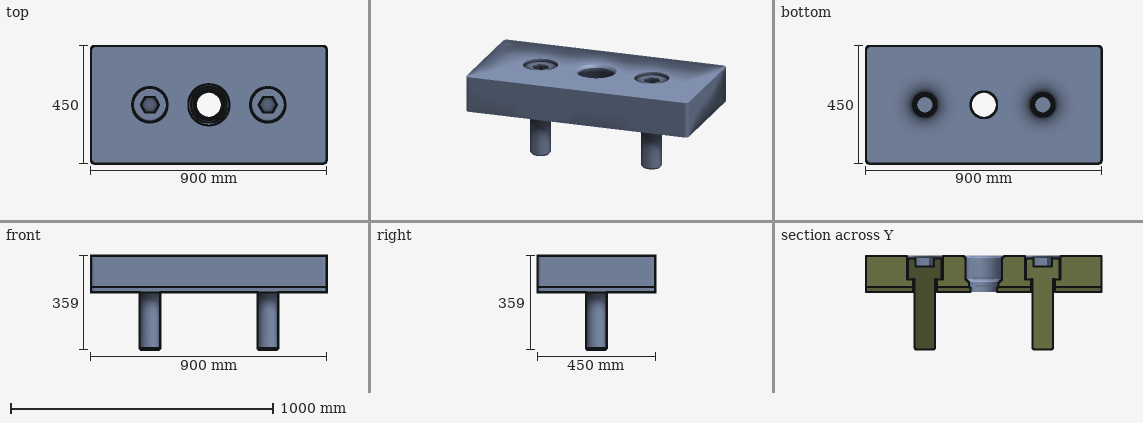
import cadquery as cq
import math

length = 900.0
width = 450.0
corner_radius = 15.0
plate_thickness = 20.0
block_thickness = 120.0
block_top = plate_thickness + block_thickness

bore_diameter = 136.54
bore_mouth_diameter = 157.0
bore_depth = 90.0
bore_floor_diameter = 116.0
block_hole_diameter = 110.0
plate_hole_diameter = 100.0

bolt_spacing = 450.0
bolt_positions = [(-bolt_spacing / 2, 0), (bolt_spacing / 2, 0)]
shank_diameter = 80.0
shank_length = 269.5
tip_diameter = 67.0
tip_length = 7.5
head_diameter = 130.0
head_height = 80.0
head_fillet = 8.0
socket_across_flats = 60.0
socket_depth = 30.0

bolt_hole_diameter = 90.0
counterbore_diameter = 135.0
head_recess = 9.5
counterbore_depth = head_recess + head_height
bolt_seat = block_top - counterbore_depth


def rounded_slab(bottom, thickness):
    """Rectangular slab with rounded vertical edges."""
    slab = cq.Workplane("XY").workplane(offset=bottom).rect(length, width).extrude(thickness)
    return slab.edges("|Z").fillet(corner_radius)


def bolt_holes(bottom, top, diameter):
    """Cylinders at the bolt positions, used to cut the bolt holes."""
    plane = cq.Workplane("XY").workplane(offset=bottom)
    return plane.pushPoints(bolt_positions).circle(diameter / 2).extrude(top - bottom)


def block_bore():
    """Revolved cutter: chamfered mouth, main bore, conical floor and a smaller through hole."""
    mouth_radius = bore_mouth_diameter / 2
    bore_radius = bore_diameter / 2
    floor_radius = bore_floor_diameter / 2
    hole_radius = block_hole_diameter / 2
    chamfer_height = mouth_radius - bore_radius
    cone_top = block_top - bore_depth
    cone_bottom = cone_top - (bore_radius - floor_radius)
    return (
        cq.Workplane("XZ")
        .moveTo(0, block_top)
        .lineTo(mouth_radius, block_top)
        .lineTo(bore_radius, block_top - chamfer_height)
        .lineTo(bore_radius, cone_top)
        .lineTo(floor_radius, cone_bottom)
        .lineTo(hole_radius, cone_bottom)
        .lineTo(hole_radius, plate_thickness)
        .lineTo(0, plate_thickness)
        .close()
        .revolve(360, (0, 0, 0), (0, 1, 0))
    )


def make_block():
    block = rounded_slab(plate_thickness, block_thickness)
    block = block.cut(block_bore())
    block = block.cut(bolt_holes(plate_thickness, block_top, bolt_hole_diameter))
    return block.cut(bolt_holes(bolt_seat, block_top, counterbore_diameter))


def make_plate():
    plate = rounded_slab(0, plate_thickness)
    plate_hole = cq.Workplane("XY").circle(plate_hole_diameter / 2).extrude(plate_thickness)
    plate = plate.cut(plate_hole)
    return plate.cut(bolt_holes(0, plate_thickness, bolt_hole_diameter))


def make_bolt(position):
    """Hexagon socket bolt with a tapered tip, its head resting on the counterbore floor."""
    x, y = position
    shank_radius = shank_diameter / 2
    seat_plane = cq.Workplane("XY").workplane(offset=bolt_seat)
    head = seat_plane.circle(head_diameter / 2).extrude(head_height)
    head = head.faces(">Z").edges().fillet(head_fillet)

    shank = seat_plane.circle(shank_radius).extrude(-shank_length)
    tip_inset = shank_radius - tip_diameter / 2
    shank = shank.faces("<Z").chamfer(tip_length, tip_inset)

    socket_circumdiameter = socket_across_flats / math.cos(math.pi / 6)
    socket = (
        seat_plane.workplane(offset=head_height)
        .polygon(6, socket_circumdiameter)
        .extrude(-socket_depth)
    )
    return head.union(shank).cut(socket).translate((x, y, 0))


block = make_block()
plate = make_plate()
bolts = [make_bolt(position) for position in bolt_positions]

result = cq.Compound.makeCompound([block.val(), plate.val(), *[bolt.val() for bolt in bolts]])